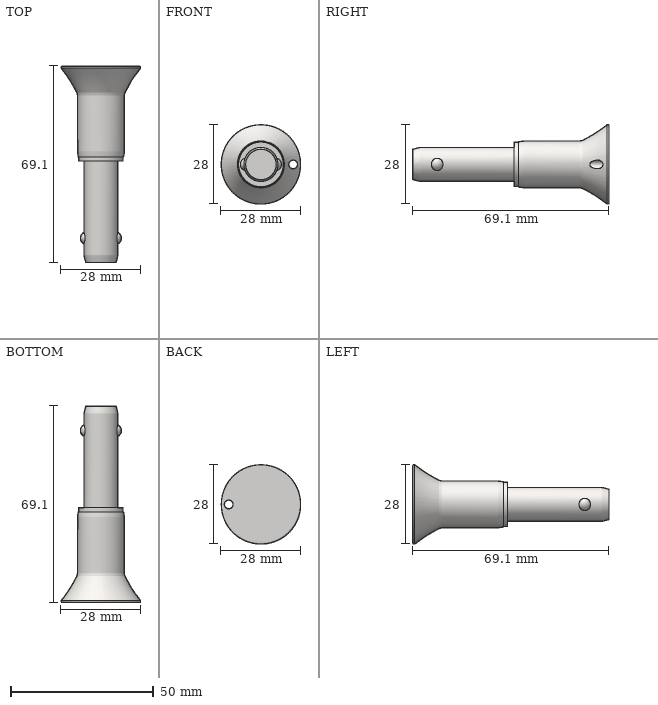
import cadquery as cq
import math


shank_radius = 6.0
shank_length = 35.7
tip_radius = 5.35
tip_length = 2.6
tip_bulge = 0.06

sleeve_radius = 8.25
collar_radius = 7.85
collar_length = 1.5
sleeve_nose_radius = 8.0
sleeve_nose_length = 1.9
sleeve_nose_bulge = 0.06

overall_length = 69.1
back_y = overall_length - shank_length
rim_radius = 14.0
rim_thickness = 0.7
rim_fillet = 0.45
flare_length = 9.15
flare_arc_radius = 50.0
neck_fillet = 2.4

ball_radius = 2.25
ball_span = 14.5
ball_y = -27.1

lanyard_hole_diameter = 3.0
lanyard_hole_x = 11.35


def bulge_point(start, end, bulge):
    """Middle point of an arc bulging to the right of its chord (to the left if bulge is negative)."""
    dx = end[0] - start[0]
    dy = end[1] - start[1]
    chord = math.hypot(dx, dy)
    mid_x = (start[0] + end[0]) / 2 + bulge * dy / chord
    mid_y = (start[1] + end[1]) / 2 - bulge * dx / chord
    return (mid_x, mid_y)


def make_body():
    """Revolve the half profile (radius, y) about the Y axis."""
    tip_end = (tip_radius, -shank_length)
    tip_start = (shank_radius, -shank_length + tip_length)
    nose_end = (sleeve_nose_radius, collar_length)
    nose_start = (sleeve_radius, collar_length + sleeve_nose_length)
    rim_edge_y = back_y - rim_thickness
    neck = (sleeve_radius, rim_edge_y - flare_length)
    flare_end = (rim_radius, rim_edge_y)
    flare_chord = math.dist(neck, flare_end)
    flare_sag = flare_arc_radius - math.sqrt(flare_arc_radius**2 - (flare_chord / 2) ** 2)

    profile = (
        cq.Workplane("XY")
        .moveTo(0, -shank_length)
        .lineTo(*tip_end)
        .threePointArc(bulge_point(tip_end, tip_start, tip_bulge), tip_start)
        .lineTo(shank_radius, 0)
        .lineTo(collar_radius, 0)
        .lineTo(collar_radius, collar_length)
        .lineTo(*nose_end)
        .threePointArc(bulge_point(nose_end, nose_start, sleeve_nose_bulge), nose_start)
        .lineTo(*neck)
        .threePointArc(bulge_point(neck, flare_end, -flare_sag), flare_end)
        .lineTo(rim_radius, back_y)
        .lineTo(0, back_y)
        .close()
    )
    body = profile.revolve(360, (0, 0, 0), (0, 1, 0))
    neck_zone = cq.selectors.BoxSelector(
        (-rim_radius, neck[1] - neck_fillet / 2, -rim_radius),
        (rim_radius, neck[1] + neck_fillet / 2, rim_radius),
        boundingbox=True,
    )
    body = body.edges(neck_zone).fillet(neck_fillet)
    return body.faces(">Y").edges().fillet(rim_fillet)


def add_balls(body):
    """Two locking balls stand out of opposite sides of the shank."""
    ball_x = ball_span / 2 - ball_radius
    for side in (-1, 1):
        ball = cq.Workplane("XY").sphere(ball_radius).translate((side * ball_x, ball_y, 0))
        body = body.union(ball)
    return body


def cut_lanyard_hole(body):
    """Drill along Y through the overhanging rim of the button."""
    hole = (
        cq.Workplane("XZ", origin=(lanyard_hole_x, back_y, 0))
        .circle(lanyard_hole_diameter / 2)
        .extrude(back_y)
    )
    return body.cut(hole)


result = cut_lanyard_hole(add_balls(make_body()))